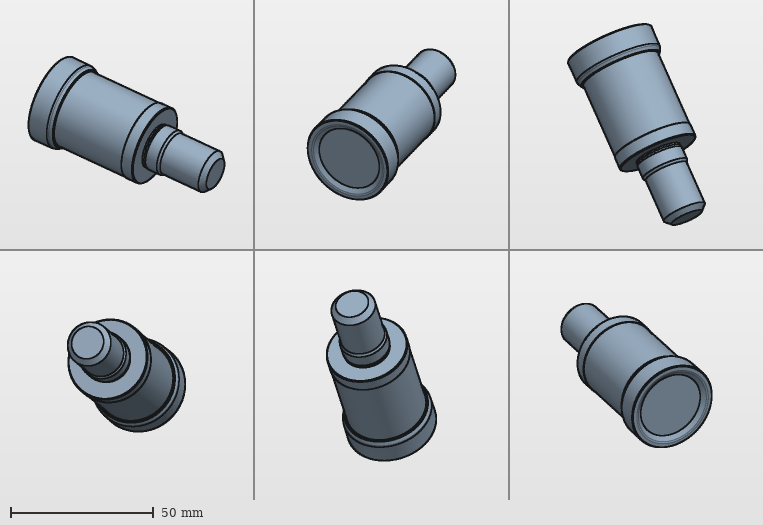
import cadquery as cq

total_length = 68.0

cap_length = 9.9
cap_face_radius = 15.7
cap_rim_radius = 32.0 / 2
cap_rim_depth = 0.35
cap_taper_end_x = 7.8
cap_taper_end_radius = 15.9
cap_shoulder_x = 8.4
cap_shoulder_radius = 15.7
cap_nose_x = 9.7
cap_nose_radius = 15.0
cap_end_radius = 14.7

mouth_radius = 14.3
lead_in_radius = 13.6
lead_in_depth = 0.2
opening_radius = 11.9
recess_depth = 1.35

cylinder_radius = 28.6 / 2
collar_radius = 29.0 / 2
collar_start_x = 37.95
collar_end_x = 42.8
collar_edge_chamfer = 0.35
collar_step = collar_radius - cylinder_radius

land_radius = 17.0 / 2
rod_radius = 15.8 / 2
groove_base_radius = 8.3
groove_radius = 8.2
groove_x = 43.45
land_start_x = 44.3
land_end_x = 48.95
shank_start_x = 50.0
tip_chamfer = 2.05


def turned(profile):
    """Revolve a closed outline of (x, radius) points about the X axis."""
    return cq.Workplane("XY").polyline(profile).close().revolve(360, (0, 0, 0), (1, 0, 0))


def make_cap():
    outside = [
        (0, cap_face_radius),
        (cap_rim_depth, cap_rim_radius),
        (cap_taper_end_x, cap_taper_end_radius),
        (cap_shoulder_x, cap_shoulder_radius),
        (cap_nose_x, cap_nose_radius),
        (cap_length, cap_end_radius),
    ]
    inside = [
        (cap_length, cylinder_radius),
        (recess_depth, cylinder_radius),
        (recess_depth, opening_radius),
        (lead_in_depth, lead_in_radius),
        (0, mouth_radius),
    ]
    return turned(outside + inside)


def make_cylinder_with_rod():
    cylinder = [
        (recess_depth, 0),
        (recess_depth, cylinder_radius),
        (collar_start_x, cylinder_radius),
    ]
    collar = [
        (collar_start_x + collar_step, collar_radius),
        (collar_end_x - collar_edge_chamfer, collar_radius),
        (collar_end_x, collar_radius - collar_edge_chamfer),
    ]
    rod = [
        (collar_end_x, groove_base_radius),
        (groove_x, groove_radius),
        (land_start_x, land_radius),
        (land_end_x, land_radius),
        (shank_start_x, rod_radius),
        (total_length - tip_chamfer, rod_radius),
        (total_length, rod_radius - tip_chamfer),
        (total_length, 0),
    ]
    return turned(cylinder + collar + rod)


cap = make_cap()
cylinder_with_rod = make_cylinder_with_rod()

result = cq.Compound.makeCompound([cap.val(), cylinder_with_rod.val()])